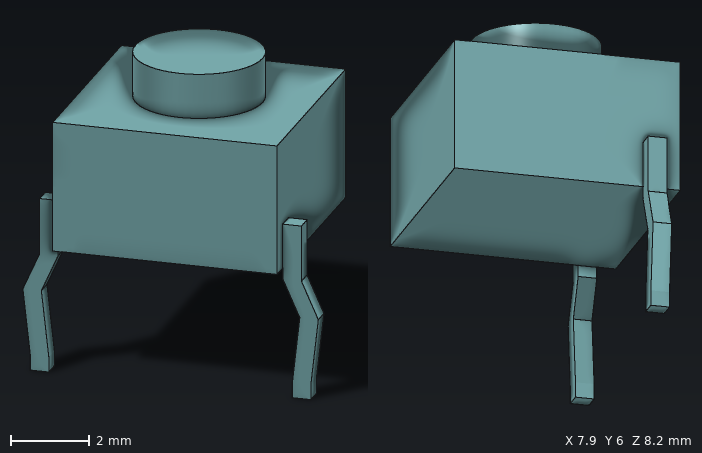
import cadquery as cq


housing_side = 6.0
housing_height = 3.5
button_diameter = 3.4
button_height = 1.2

leg_thickness = 0.5
leg_front_inset = 0.5
kink_offset = 0.45
foot_offset = 0.25

leg_top_z = 1.2
upper_bend_z = -0.3
kink_z = -1.3
foot_bend_z = -3.1
foot_z = -3.5


def make_housing():
    """Square block with the round button on its top face."""
    block = cq.Workplane("XY").rect(housing_side, housing_side).extrude(housing_height)
    return block.faces(">Z").workplane().circle(button_diameter / 2).extrude(button_height)


def make_leg(side):
    """Kinked leg on the side face of the housing: side is -1 for -X and +1 for +X."""
    levels = [
        (leg_top_z, 0),
        (upper_bend_z, 0),
        (kink_z, kink_offset),
        (foot_bend_z, foot_offset),
        (foot_z, foot_offset),
    ]
    face_x = housing_side / 2
    inner_edge = [(side * (face_x + gap), z) for z, gap in levels]
    outer_edge = [(side * (face_x + gap + leg_thickness), z) for z, gap in levels]
    outline = inner_edge + outer_edge[::-1]

    leg_front_y = -housing_side / 2 + leg_front_inset
    leg_back_y = leg_front_y + leg_thickness
    profile = cq.Workplane("XZ", origin=(0, leg_back_y, 0)).polyline(outline).close()
    return profile.extrude(leg_thickness)


housing = make_housing()
legs = [make_leg(side) for side in (-1, 1)]

result = cq.Compound.makeCompound([housing.val(), *[leg.val() for leg in legs]])